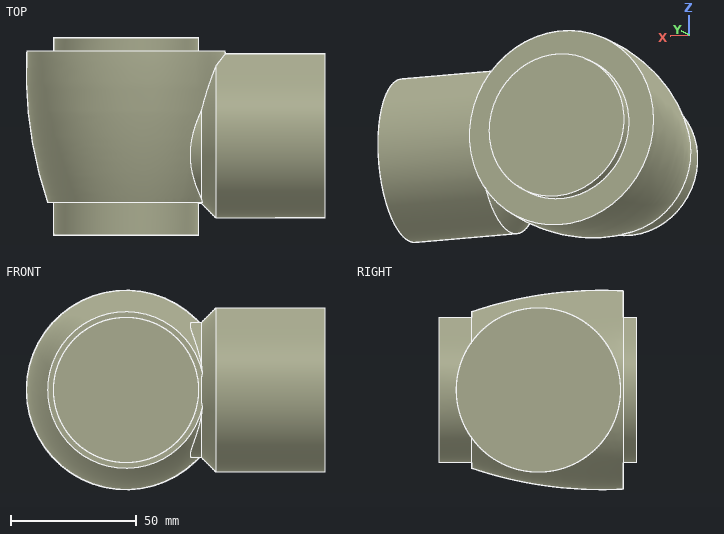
import cadquery as cq
import math

body_front_y = -26.5
body_rear_y = 33.75
body_widest_y = 25.0
body_max_radius = 39.65
body_front_radius = 31.1

plug_radius = 28.85
front_plug_length = 13.0
rear_plug_length = 5.25

neck_radius = 26.9
socket_radius = 32.65
socket_end_x = 79.1
socket_length = 43.4
cone_length = socket_radius - neck_radius


def barrel_radius(y):
    """Radius of the circular arc profile that is widest at body_widest_y."""
    drop = body_max_radius - body_front_radius
    half_chord = body_widest_y - body_front_y
    arc_radius = (half_chord ** 2 + drop ** 2) / (2 * drop)
    offset = y - body_widest_y
    return body_max_radius - arc_radius + math.sqrt(arc_radius ** 2 - offset ** 2)


def cylinder_along_y(radius, start_y, end_y):
    """Cylinder about the Y axis between two Y positions."""
    start_plane = cq.Workplane("XZ", origin=(0, start_y, 0))
    return start_plane.circle(radius).extrude(start_y - end_y)


def make_body():
    """Solid barrel: one circular arc revolved about the Y axis."""
    middle_y = (body_front_y + body_rear_y) / 2
    profile = (
        cq.Workplane("XY")
        .moveTo(0, body_front_y)
        .lineTo(-body_front_radius, body_front_y)
        .threePointArc((-barrel_radius(middle_y), middle_y), (-barrel_radius(body_rear_y), body_rear_y))
        .lineTo(0, body_rear_y)
        .close()
    )
    return profile.revolve(360, (0, 0, 0), (0, 1, 0))


def make_plugs():
    """One cylinder through the body, showing as a plug at each end."""
    return cylinder_along_y(plug_radius, body_front_y - front_plug_length, body_rear_y + rear_plug_length)


def make_branch():
    """Neck, cone and socket revolved about the X axis, starting inside the body."""
    socket_start_x = socket_end_x - socket_length
    cone_start_x = socket_start_x - cone_length
    profile = (
        cq.Workplane("XY")
        .moveTo(0, 0)
        .lineTo(0, neck_radius)
        .lineTo(cone_start_x, neck_radius)
        .lineTo(socket_start_x, socket_radius)
        .lineTo(socket_end_x, socket_radius)
        .lineTo(socket_end_x, 0)
        .close()
    )
    return profile.revolve(360, (0, 0, 0), (1, 0, 0))


result = make_body().union(make_plugs()).union(make_branch())